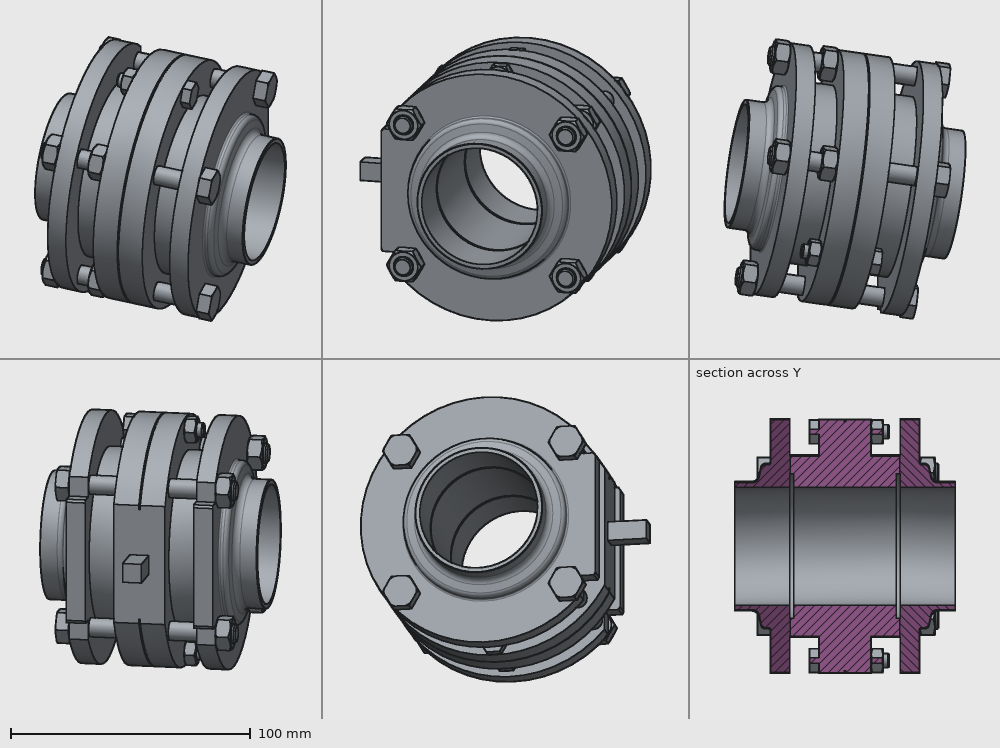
import cadquery as cq
import math


half_length = 46.0
bore_dia = 50.0
outer_dia = 106.0
flat_y = 46.6

plate_inner_x = 22.95
plate_thickness = 8.1
plate_outer_x = plate_inner_x + plate_thickness
notch_y = 40.0
notch_z = 26.4
tube_dia = 54.0
tube_end_dia = 53.6
collar_dia = 69.0
collar_end_x = 32.95
cone_slope = math.radians(78)
tube_fillet = 3.0
collar_round = 2.2
weld_fillet = 0.7

valve_half_width = 10.85
hub_dia = 76.0
split_gap = 0.5
split_groove_dia = 104.4
seat_dia = 61.0
seat_depth = 1.5
stem_side = 8.0
stem_end_y = 63.05

bolt_dia = 8.0
bolt_tip_dia = 6.6
bolt_y = 35.15
bolt_z = 30.5
bolt_tip_x = -39.1
bolt_hex = 13.0
bolt_nut_height = 6.5
bolt_head_height = 5.5
head_face_radius = 6.9
nut_mouth_dia = 8.5

pin_dia = 6.0
pin_tip_dia = 4.8
pin_z = 47.65
pin_tip_x = -18.5
pin_hex = 10.0
pin_nut_height = 5.0
pin_head_height = 4.0
pin_mouth_dia = 6.6

nut_chamfer_angle = math.radians(30)
nut_face_ratio = 0.95


def x_cylinder(diameter, x_start, x_end, y=0.0, z=0.0):
    """Cylinder along X between two X positions."""
    plane = cq.Workplane("YZ", origin=(x_start, y, z))
    return plane.circle(diameter / 2).extrude(x_end - x_start)


def beyond_flat():
    """Material on the stem side of the flat."""
    return cq.Workplane("XY").box(2 * half_length, outer_dia, 2 * outer_dia).translate(
        (0, flat_y + outer_dia / 2, 0))


def hexagon(across_flats, x_start, x_end, y, z):
    """Hexagonal prism along X with corners toward +-Y."""
    across_corners = across_flats / math.cos(math.pi / 6)
    return cq.Workplane("YZ", origin=(x_start, y, z)).polygon(6, across_corners).extrude(x_end - x_start)


def chamfer_envelope(across_flats, face_radius, x_start, x_end, y, z, chamfer_start):
    """Round bar through the hexagon corners, coned to face_radius at +X and, if asked, also at -X."""
    corner_radius = across_flats / 2 / math.cos(math.pi / 6)
    cone_height = (corner_radius - face_radius) * math.tan(nut_chamfer_angle)
    start_radius = face_radius if chamfer_start else corner_radius
    length = x_end - x_start
    profile = (
        cq.Workplane("XY", origin=(x_start, y, z))
        .lineTo(0, start_radius)
        .lineTo(cone_height, corner_radius)
        .lineTo(length - cone_height, corner_radius)
        .lineTo(length, face_radius)
        .lineTo(length, 0)
        .close()
    )
    return profile.revolve(360, (0, 0, 0), (1, 0, 0))


def nut(across_flats, mouth_dia, thread_dia, height, x_seat, y, z):
    """Nut standing on a seat that faces -X, with a countersunk mouth around its bolt."""
    mouth_depth = (mouth_dia - thread_dia) / 2
    face_x = x_seat - height
    face_radius = nut_face_ratio * across_flats / 2
    envelope = chamfer_envelope(across_flats, face_radius, face_x, x_seat, y, z, True)
    mouth = cq.Workplane("YZ", origin=(face_x, y, z)).circle(mouth_dia / 2).workplane(offset=mouth_depth)
    mouth = mouth.circle(thread_dia / 2).loft()
    return hexagon(across_flats, face_x, x_seat, y, z).intersect(envelope).cut(mouth)


def shank(diameter, tip_dia, tip_x, x_end, y, z):
    """Bolt shank with a chamfered tip at its -X end."""
    return x_cylinder(diameter, tip_x, x_end, y, z).faces("<X").chamfer((diameter - tip_dia) / 2)


def weld_end_flange():
    """Flange on the -X side: notched plate, collar, cone and weld tube in one piece."""
    plate = x_cylinder(outer_dia, -plate_outer_x, -plate_inner_x).cut(beyond_flat())
    notch_size = outer_dia / 2
    for side in (-1, 1):
        notch = cq.Workplane("XY").box(2 * half_length, notch_size, notch_size)
        plate = plate.cut(notch.translate(
            (0, notch_y + notch_size / 2, side * (notch_z + notch_size / 2))))

    tube_r = tube_dia / 2
    collar_r = collar_dia / 2
    sin_slope = math.sin(cone_slope)
    cos_slope = math.cos(cone_slope)
    half_sin = math.sin(cone_slope / 2)
    half_cos = math.cos(cone_slope / 2)
    round_end = (-collar_end_x - collar_round * sin_slope,
                 collar_r - collar_round * (1 - cos_slope))
    round_mid = (-collar_end_x - collar_round * half_sin,
                 collar_r - collar_round * (1 - half_cos))
    fillet_start_r = tube_r + tube_fillet * (1 - cos_slope)
    fillet_start_x = round_end[0] - (round_end[1] - fillet_start_r) / math.tan(cone_slope)
    fillet_end_x = fillet_start_x - tube_fillet * sin_slope
    fillet_mid = (fillet_end_x + tube_fillet * half_sin,
                  tube_r + tube_fillet * (1 - half_cos))
    end_chamfer = (tube_dia - tube_end_dia) / 2
    weld_mid = weld_fillet * (1 - math.sqrt(0.5))

    neck = (
        cq.Workplane("XY")
        .moveTo(-plate_inner_x, 0)
        .lineTo(-plate_inner_x, collar_r)
        .lineTo(-plate_outer_x, collar_r)
        .lineTo(-plate_outer_x, collar_r + weld_fillet)
        .threePointArc((-plate_outer_x - weld_mid, collar_r + weld_mid),
                       (-plate_outer_x - weld_fillet, collar_r))
        .lineTo(-collar_end_x, collar_r)
        .threePointArc(round_mid, round_end)
        .lineTo(fillet_start_x, fillet_start_r)
        .threePointArc(fillet_mid, (fillet_end_x, tube_r))
        .lineTo(-half_length + end_chamfer, tube_r)
        .lineTo(-half_length, tube_r - end_chamfer)
        .lineTo(-half_length, 0)
        .close()
        .revolve(360, (0, 0, 0), (1, 0, 0))
    )
    flange = plate.union(neck).cut(x_cylinder(bore_dia, -half_length, 0))
    for y in (-bolt_y, bolt_y):
        for z in (-bolt_z, bolt_z):
            flange = flange.cut(x_cylinder(bolt_dia, -half_length, 0, y, z))
    return flange


def flange_bolt(y, z):
    """M8 bolt through both flanges: nut on -X, head on +X, lock nut on the valve away from the stem."""
    bolt = shank(bolt_dia, bolt_tip_dia, bolt_tip_x, plate_outer_x, y, z)
    head_end = plate_outer_x + bolt_head_height
    head = hexagon(bolt_hex, plate_outer_x, head_end, y, z).intersect(
        chamfer_envelope(bolt_hex, head_face_radius, plate_outer_x, head_end, y, z, False))
    nut_seats = [-plate_outer_x]
    if y < 0:
        nut_seats.append(-valve_half_width)
    bolt = bolt.union(head)
    for seat in nut_seats:
        bolt = bolt.union(nut(bolt_hex, nut_mouth_dia, bolt_dia, bolt_nut_height, seat, y, z))
    return bolt


def disc_bolt(z):
    """M6 bolt holding the two valve discs together."""
    bolt = shank(pin_dia, pin_tip_dia, pin_tip_x, valve_half_width, 0, z)
    head_end = valve_half_width + pin_head_height
    head = hexagon(pin_hex, valve_half_width, head_end, 0, z)
    return bolt.union(head).union(
        nut(pin_hex, pin_mouth_dia, pin_dia, pin_nut_height, -valve_half_width, 0, z))


def valve_with_bolts():
    """Two discs on a hub, the square stem and all bolts and nuts."""
    discs = x_cylinder(outer_dia, -valve_half_width, valve_half_width).cut(beyond_flat())
    groove = x_cylinder(2 * outer_dia, -split_gap / 2, split_gap / 2).cut(
        x_cylinder(split_groove_dia, -split_gap / 2, split_gap / 2))
    valve = discs.cut(groove).union(x_cylinder(hub_dia, -plate_inner_x, plate_inner_x))
    stem_length = stem_end_y - bore_dia / 2
    stem = cq.Workplane("XY").box(stem_side, stem_length, stem_side)
    valve = valve.union(stem.translate((0, stem_end_y - stem_length / 2, 0)))
    valve = valve.cut(x_cylinder(bore_dia, -half_length, half_length))
    for seat_x in (-plate_inner_x, plate_inner_x - seat_depth):
        valve = valve.cut(x_cylinder(seat_dia, seat_x, seat_x + seat_depth))
    for y in (-bolt_y, bolt_y):
        for z in (-bolt_z, bolt_z):
            valve = valve.union(flange_bolt(y, z))
    for z in (-pin_z, pin_z):
        valve = valve.union(disc_bolt(z))
    return valve


left_flange = weld_end_flange()
right_flange = left_flange.mirror("YZ")
valve = valve_with_bolts()

result = cq.Compound.makeCompound([valve.val(), left_flange.val(), right_flange.val()])